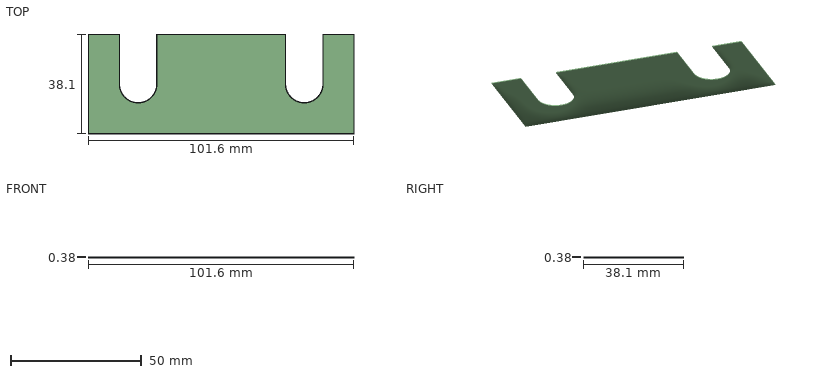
import cadquery as cq

plate_length = 101.6
plate_width = 38.1
plate_thickness = 0.381

slot_width = 14.224
slot_spacing = 63.5
slot_end_y = 0.0


def make_plate():
    """Flat rectangular plate centred on the origin."""
    return cq.Workplane("XY").box(plate_length, plate_width, plate_thickness)


def make_slot(center_x):
    """Cutter for one slot: round inner end, straight sides open at the +Y edge."""
    radius = slot_width / 2
    edge_y = plate_width / 2
    return (
        cq.Workplane("XY")
        .moveTo(center_x - radius, edge_y)
        .lineTo(center_x - radius, slot_end_y)
        .threePointArc((center_x, slot_end_y - radius), (center_x + radius, slot_end_y))
        .lineTo(center_x + radius, edge_y)
        .close()
        .extrude(plate_thickness, both=True)
    )


result = make_plate()
for side in (-1, 1):
    result = result.cut(make_slot(side * slot_spacing / 2))